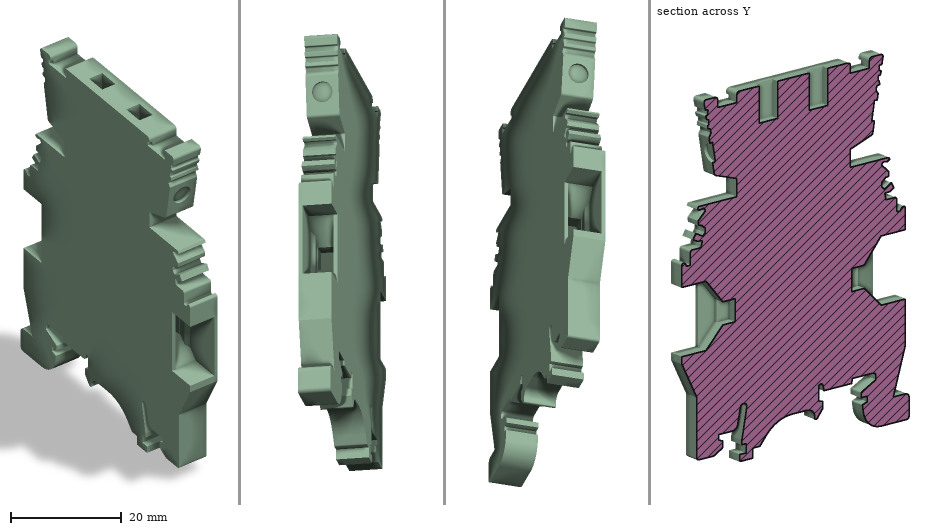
import cadquery as cq
import math

THICKNESS = 6.0
TOP_Z = 70.95
DECK_Z = 50.95
SIDE_X = 26.05
FOOT_X = 26.95

PLUG_NECK_X = 13.3
GROOVE_OUTER_X = 17.6
GROOVE_FLOOR_Z = 68.9
GROOVE_LIP_RADIUS = 0.7
UNDERCUT_REACH = 0.6
UNDERCUT_HEIGHT = 0.9
UNDERCUT_DEPTH = 0.7
PLUG_CORNER = (18.45, 56.05)
PLUG_FLANK_TOP = (19.7, 63.6)
TOOTH_RADIUS = 0.15

SOCKET_LENGTH = 4.1
SOCKET_WIDTH = 2.9
SOCKET_DEPTH = 7.1
SOCKET_X = 5.8
SOCKET_Y = 0.1

RECESS_DIAMETER = 3.75
RECESS_DEPTH = 0.65
RECESS_Z = 60.45

WALL = 0.7
POCKET_DEPTH = 5.7
POCKET_BOTTOM_Z = 23.1
POCKET_TOP_Z = 36.25
FUNNEL_WALL = 0.7
FUNNEL_DEPTH = 3.9
THROAT_BOTTOM_Z = 27.2
THROAT_TOP_Z = 31.5
CHEEK_START = 1.85
CHEEK_END = 2.5
CHEEK_INSET = 0.8
BORE_DEPTH = 2.85
BORE_INSET_BACK = 0.2
BORE_INSET_FRONT = 0.5


def rounded_outline(corners):
    """Closed XZ outline; each corner is (x, z) or (x, z, radius)."""
    points = [cq.Vector(c[0], c[1], 0) for c in corners]
    outline = None
    for i, corner in enumerate(corners):
        here = points[i]
        radius = corner[2] if len(corner) == 3 else 0
        to_last = (points[i - 1] - here).normalized()
        to_next = (points[(i + 1) % len(points)] - here).normalized()
        half_angle = to_last.getAngle(to_next) / 2
        setback = radius / math.tan(half_angle)
        start = here + to_last * setback
        if outline is None:
            outline = cq.Workplane("XZ").moveTo(start.x, start.y)
        else:
            outline = outline.lineTo(start.x, start.y)
        if radius:
            bisector = (to_last + to_next).normalized()
            middle = here + bisector * (radius / math.sin(half_angle) - radius)
            end = here + to_next * setback
            outline = outline.threePointArc((middle.x, middle.y), (end.x, end.y))
    return outline.close()


def mirrored(corners):
    """Corners reflected in X = 0, in reverse order."""
    return [(-x, *rest) for x, *rest in reversed(corners)]


def plate(corners):
    return rounded_outline(corners).extrude(THICKNESS / 2, both=True)


def make_plug():
    half = [
        (-PLUG_NECK_X, DECK_Z),
        (-PLUG_NECK_X, 54.35, 0.2),
        (-PLUG_CORNER[0], PLUG_CORNER[1], 0.6),
        (-PLUG_FLANK_TOP[0], PLUG_FLANK_TOP[1], 0.2),
        (-19.2, 64.35, 0.2),
        (-19.45, 65.1, 0.2),
        (-20.1, 65.2, TOOTH_RADIUS),
        (-20.0, 66.0, TOOTH_RADIUS),
        (-19.7, 66.05, TOOTH_RADIUS),
        (-19.7, 66.9, TOOTH_RADIUS),
        (-20.2, 67.0, TOOTH_RADIUS),
        (-20.5, 67.8, TOOTH_RADIUS),
        (-20.0, 68.0, TOOTH_RADIUS),
        (-19.95, 68.9, TOOTH_RADIUS),
        (-20.6, 68.9, TOOTH_RADIUS),
        (-21.0, TOP_Z, 0.6),
        (-GROOVE_OUTER_X, TOP_Z, GROOVE_LIP_RADIUS),
        (-GROOVE_OUTER_X, GROOVE_FLOOR_Z),
        (-PLUG_NECK_X, GROOVE_FLOOR_Z),
        (-PLUG_NECK_X, TOP_Z, GROOVE_LIP_RADIUS),
    ]
    return plate(half + mirrored(half))


def make_housing():
    shoulder = [
        (-SIDE_X, 40.9, 0.4),
        (-25.25, 40.9, 0.2),
        (-24.8, 40.15, 0.2),
        (-24.05, 40.15, 0.3),
        (-24.05, 43.0, 0.5),
        (-21.6, 43.0),
        (-21.3, 44.2),
        (-22.35, 44.3),
        (-23.4, 44.85),
        (-22.8, 46.0),
        (-21.1, 45.05),
        (-20.6, 45.7),
        (-20.6, 46.4),
        (-21.4, 47.2),
        (-22.15, 47.25),
        (-22.2, 48.2),
        (-20.5, 49.8, 0.3),
        (-20.9, 50.3, 0.2),
        (-21.85, 50.1),
        (-22.4, 50.45),
        (-22.15, DECK_Z),
    ]
    underside = [
        (SIDE_X, 21.7),
        (22.55, 14.6),
        (22.55, 2.55, 0.5),
        (18.45, 2.55),
        (16.4, 3.75, 0.3),
        (16.4, 5.05, 0.2),
        (17.3, 5.4),
        (17.3, 6.4),
        (13.1, 6.4, 1.3),
        (12.2, 11.1, 0.65),
        (10.8, 11.1, 0.65),
        (12.05, 4.25),
        (12.05, 3.3),
        (11.1, 3.3),
        (11.1, 1.6),
        (12.55, 1.6),
        (12.55, 0.2),
        (9.45, 0.2),
        (9.45, 2.1),
        (7.8, 2.1, 0.4),
        (4.05, 6.7, 7.8),
        (-4.9, 6.7, 1.7),
        (-4.9, 4.55, 0.2),
        (-5.45, 4.55, 0.2),
        (-6.8, 6.25),
        (-6.8, 7.65),
        (-5.9, 7.95),
        (-5.9, 11.0, 0.4),
        (-6.75, 11.0, 0.4),
        (-7.0, 9.6),
        (-13.55, 9.6),
        (-13.75, 10.5),
        (-19.1, 10.5, 0.6),
        (-19.1, 9.15, 0.35),
        (-15.7, 7.45, 0.3),
        (-15.7, 6.4),
        (-17.1, 6.4),
        (-17.1, 5.4),
        (-15.95, 5.05, 0.15),
        (-16.7, 0.0, 4.25),
        (-FOOT_X, 0.0, 0.7),
        (-FOOT_X, 5.05, 1.0),
        (-23.3, 5.05),
        (-SIDE_X, 14.2),
    ]
    return plate(shoulder + mirrored(shoulder) + underside)


def box(x_range, y_range, z_range):
    size = [high - low for low, high in (x_range, y_range, z_range)]
    return cq.Workplane("XY").box(*size, centered=False).translate((x_range[0], y_range[0], z_range[0]))


def groove_undercut():
    """Widening at the floor of the -X groove, open to the -Y face."""
    return box(
        (-GROOVE_OUTER_X - UNDERCUT_REACH, -PLUG_NECK_X + UNDERCUT_REACH),
        (-THICKNESS / 2, -THICKNESS / 2 + UNDERCUT_DEPTH),
        (GROOVE_FLOOR_Z, GROOVE_FLOOR_Z + UNDERCUT_HEIGHT),
    )


def flank_recess():
    """Round recess square to the -X flank of the plug head."""
    rise = PLUG_FLANK_TOP[1] - PLUG_CORNER[1]
    run = PLUG_FLANK_TOP[0] - PLUG_CORNER[0]
    flank_x = -PLUG_CORNER[0] - run * (RECESS_Z - PLUG_CORNER[1]) / rise
    flank = cq.Plane(origin=(flank_x, 0, RECESS_Z), xDir=(0, 1, 0), normal=(rise, 0, run))
    return cq.Workplane(flank).circle(RECESS_DIAMETER / 2).extrude(RECESS_DEPTH)


def wire_entry():
    """Pocket open to the -X side and the -Y face, then a funnel and a blind bore."""
    front = -THICKNESS / 2
    back = THICKNESS / 2 - WALL
    funnel_front = front + FUNNEL_WALL
    funnel_x = -SIDE_X + POCKET_DEPTH
    throat_x = funnel_x + FUNNEL_DEPTH
    cheek_y = back - CHEEK_INSET

    pocket = box((-SIDE_X, funnel_x), (front, back), (POCKET_BOTTOM_Z, POCKET_TOP_Z))
    side_shape = (
        cq.Workplane("XZ")
        .polyline([
            (funnel_x, POCKET_BOTTOM_Z),
            (throat_x, THROAT_BOTTOM_Z),
            (throat_x, THROAT_TOP_Z),
            (funnel_x, POCKET_TOP_Z),
        ])
        .close()
        .extrude(THICKNESS / 2, both=True)
    )
    plan_shape = (
        cq.Workplane("XY")
        .polyline([
            (funnel_x, funnel_front),
            (throat_x, funnel_front),
            (throat_x, cheek_y),
            (funnel_x + CHEEK_END, cheek_y),
            (funnel_x + CHEEK_START, back),
            (funnel_x, back),
        ])
        .close()
        .extrude(TOP_Z)
    )
    bore = box(
        (throat_x, throat_x + BORE_DEPTH),
        (funnel_front + BORE_INSET_FRONT, cheek_y - BORE_INSET_BACK),
        (THROAT_BOTTOM_Z, THROAT_TOP_Z),
    )
    return pocket.union(side_shape.intersect(plan_shape)).union(bore)


result = make_plug().union(make_housing())

for cutter in (groove_undercut(), flank_recess(), wire_entry()):
    result = result.cut(cutter).cut(cutter.mirror("YZ"))

sockets = (
    cq.Workplane("XY", origin=(0, SOCKET_Y, TOP_Z))
    .pushPoints([(-SOCKET_X, 0), (SOCKET_X, 0)])
    .rect(SOCKET_LENGTH, SOCKET_WIDTH)
    .extrude(-SOCKET_DEPTH)
)
result = result.cut(sockets)